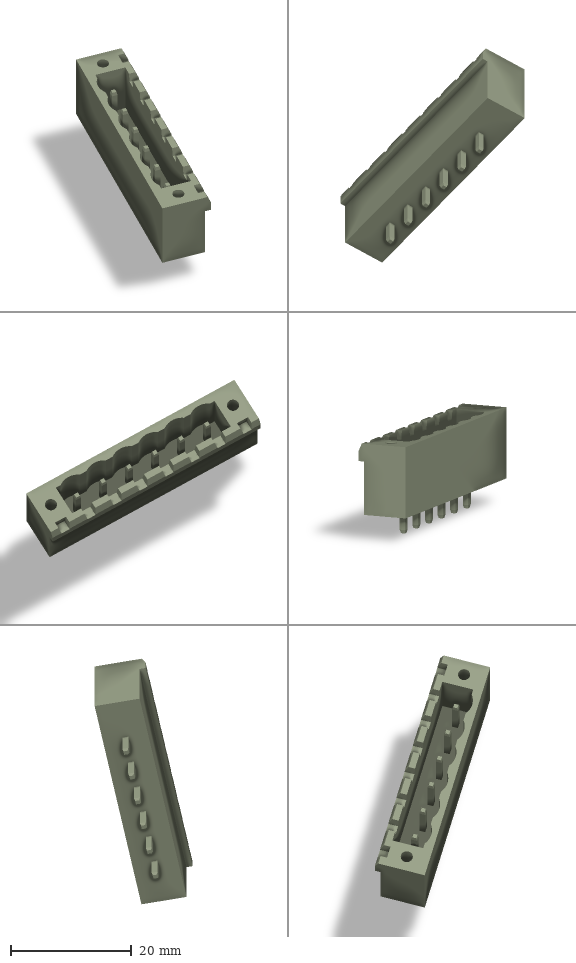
import cadquery as cq

pin_count = 6
pitch = 5.0
pin_width = 1.0
pin_tip_width = 0.7
pin_tail_length = 4.0
pin_taper_length = 0.6
pin_top = 10.0

housing_length = (pin_count + 2) * pitch
housing_depth = 7.6
housing_height = 12.0
front_y = -housing_depth / 2
back_y = housing_depth / 2

lip_overhang = 1.0
lip_height = 3.0
lip_chamfer_depth = 0.6
lip_chamfer_height = 1.3
lip_y = back_y + lip_overhang

cavity_length = 30.5
cavity_front_y = -2.2
cavity_back_y = 3.1
cavity_floor = 3.0
cavity_height = housing_height - cavity_floor
scallop_width = 3.7
scallop_sag = 0.6

notch_top_width = 2.1
notch_bottom_width = 1.5
notch_depth = 1.5

screw_hole_diameter = 2.0
screw_hole_depth = 8.0

def row_positions(count):
    """X positions of `count` features spaced one pitch apart about the centre."""
    return [(i - (count - 1) / 2) * pitch for i in range(count)]

pin_xs = row_positions(pin_count)
station_xs = row_positions(pin_count + 2)
flange_xs = [station_xs[0], station_xs[-1]]

def make_housing():
    """Side profile with the chamfered lip, extruded along X."""
    return (
        cq.Workplane("YZ")
        .moveTo(front_y, 0)
        .lineTo(back_y, 0)
        .lineTo(back_y, housing_height - lip_height)
        .lineTo(lip_y, housing_height - lip_height)
        .lineTo(lip_y, housing_height - lip_chamfer_height)
        .lineTo(lip_y - lip_chamfer_depth, housing_height)
        .lineTo(front_y, housing_height)
        .close()
        .extrude(housing_length / 2, both=True)
    )

def make_cavity():
    """Plug cavity outline, its front edge bulging outward at every pin."""
    outline = cq.Workplane("XY").workplane(offset=cavity_floor)
    outline = outline.moveTo(-cavity_length / 2, cavity_back_y)
    outline = outline.lineTo(-cavity_length / 2, cavity_front_y)
    for x in pin_xs:
        outline = outline.lineTo(x - scallop_width / 2, cavity_front_y)
        outline = outline.threePointArc(
            (x, cavity_front_y - scallop_sag),
            (x + scallop_width / 2, cavity_front_y),
        )
    outline = outline.lineTo(cavity_length / 2, cavity_front_y)
    outline = outline.lineTo(cavity_length / 2, cavity_back_y)
    return outline.close().extrude(cavity_height)

def make_notch(x):
    """Trapezoidal notch from the cavity's back wall out through the lip."""
    return (
        cq.Workplane("XZ", origin=(x, lip_y, housing_height))
        .moveTo(-notch_top_width / 2, 0)
        .lineTo(-notch_bottom_width / 2, -notch_depth)
        .lineTo(notch_bottom_width / 2, -notch_depth)
        .lineTo(notch_top_width / 2, 0)
        .close()
        .extrude(lip_y - cavity_back_y)
    )

def make_screw_hole(x):
    """Blind hole going down from the top of an end flange."""
    return (
        cq.Workplane("XY", origin=(x, 0, housing_height))
        .circle(screw_hole_diameter / 2)
        .extrude(-screw_hole_depth)
    )

def make_taper(x, base_z, length):
    """Tapered pin end, rising from base_z or falling when length is negative."""
    return (
        cq.Workplane("XY", origin=(x, 0, base_z))
        .rect(pin_width, pin_width)
        .workplane(offset=length)
        .rect(pin_tip_width, pin_tip_width)
        .loft(combine=True)
    )

def make_pin(x):
    """Square pin through the cavity floor, tapered at both ends."""
    shank_bottom = pin_taper_length - pin_tail_length
    shank_top = pin_top - pin_taper_length
    shank = (
        cq.Workplane("XY", origin=(x, 0, shank_bottom))
        .rect(pin_width, pin_width)
        .extrude(shank_top - shank_bottom)
    )
    upper_tip = make_taper(x, shank_top, pin_taper_length)
    lower_tip = make_taper(x, shank_bottom, -pin_taper_length)
    return shank.union(upper_tip).union(lower_tip)

result = make_housing().cut(make_cavity())
for station_x in station_xs:
    result = result.cut(make_notch(station_x))
for flange_x in flange_xs:
    result = result.cut(make_screw_hole(flange_x))
for pin_x in pin_xs:
    result = result.union(make_pin(pin_x))